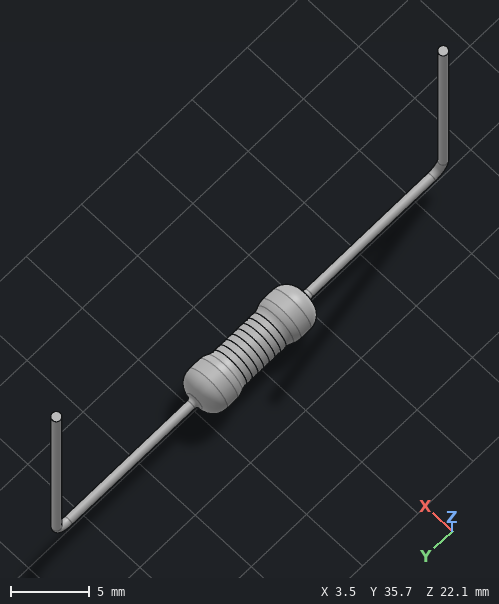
import cadquery as cq
import math

overall_length = 35.7
overall_height = 22.1
wire_radius = 0.35
bend_radius = 1.07

cap_radius = 1.75
body_half_length = 5.0
dome_radius = 1.2
collar_radius = 0.35
cap_inner_end = 2.85

waist_radius = 2.95 / 2
band_radius = 3.0 / 2
waist_half_length = 1.8
waist_sections = 7

lead_y = overall_length / 2 - wire_radius
lead_top = overall_height - cap_radius


def arc_point(center, radius, angle):
    """Point (radial, axial) on a circle, angle in radians."""
    return (center[0] + radius * math.cos(angle), center[1] + radius * math.sin(angle))


def make_cap():
    """Revolve the +Y end of the body: S-shaped shoulder, cap, dome and collar."""
    dome_center = (cap_radius - dome_radius, body_half_length - dome_radius)

    collar_center_radial = wire_radius + collar_radius
    contact_angle = math.acos((collar_center_radial - dome_center[0]) / (dome_radius + collar_radius))
    collar_center = arc_point(dome_center, dome_radius + collar_radius, contact_angle)
    contact = arc_point(dome_center, dome_radius, contact_angle)
    collar_middle_angle = math.pi + contact_angle / 2

    shoulder_middle = ((waist_radius + cap_radius) / 2, (waist_half_length + cap_inner_end) / 2)
    shoulder_rise = (cap_radius - waist_radius) / 2
    shoulder_run = (cap_inner_end - waist_half_length) / 2
    shoulder_radius = (shoulder_run**2 + shoulder_rise**2) / (2 * shoulder_rise)
    shoulder_center = (waist_radius + shoulder_radius, waist_half_length)
    shoulder_half_angle = math.asin(shoulder_run / shoulder_radius) / 2
    shoulder_start_middle = arc_point(shoulder_center, shoulder_radius, math.pi - shoulder_half_angle)

    return (
        cq.Workplane("XY")
        .moveTo(0, waist_half_length)
        .lineTo(waist_radius, waist_half_length)
        .threePointArc(shoulder_start_middle, shoulder_middle)
        .tangentArcPoint((cap_radius, cap_inner_end), relative=False)
        .lineTo(cap_radius, dome_center[1])
        .threePointArc(arc_point(dome_center, dome_radius, contact_angle / 2), contact)
        .threePointArc(
            arc_point(collar_center, collar_radius, collar_middle_angle),
            (wire_radius, collar_center[1]),
        )
        .lineTo(0, collar_center[1])
        .close()
        .revolve(360, (0, 0), (0, 1))
    )


def make_waist():
    """Stack of cylinders along Y: raised bands alternating with plain gaps, a band at each end."""
    section_length = 2 * waist_half_length / waist_sections
    waist = cq.Workplane("XZ")
    for index in range(waist_sections):
        radius = band_radius if index % 2 == 0 else waist_radius
        start_y = -waist_half_length + index * section_length
        section = cq.Workplane("XZ", origin=(0, start_y, 0)).circle(radius).extrude(-section_length)
        waist = waist.add(section)
    return waist.combine()


def make_lead():
    """Wire from the middle of the body along +Y, bent up to +Z."""
    bend_start_y = lead_y - bend_radius
    bend_middle = (
        bend_start_y + bend_radius * math.sin(math.pi / 4),
        bend_radius * (1 - math.cos(math.pi / 4)),
    )
    path = (
        cq.Workplane("YZ")
        .lineTo(bend_start_y, 0)
        .threePointArc(bend_middle, (lead_y, bend_radius))
        .lineTo(lead_y, lead_top)
    )
    return cq.Workplane("XZ").circle(wire_radius).sweep(path)


cap_and_lead = make_cap().union(make_lead())
result = make_waist().union(cap_and_lead).union(cap_and_lead.mirror("XZ"))